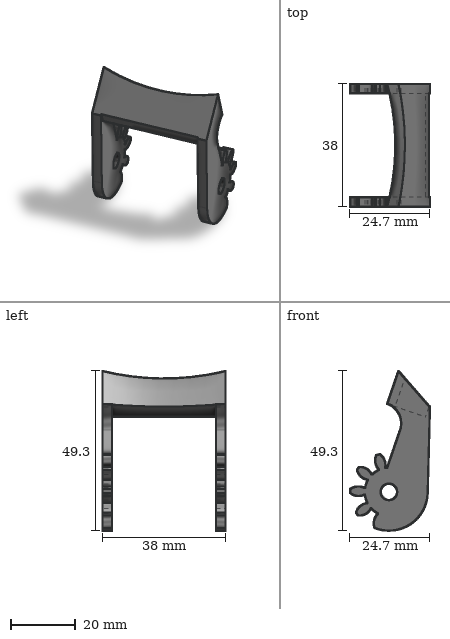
import cadquery as cq
import math

overall_width = 38.0
arm_thickness = 3.0
pivot_hole_diameter = 5.0

outer_radius = 12.0
root_radius = 7.5
tooth_pitch = 36.15
first_tooth_angle = 106.4
full_tooth_count = 4
last_tooth_angle = first_tooth_angle + full_tooth_count * tooth_pitch
tooth_root_half_width = 1.04
tooth_belly_half_width = 1.52
tooth_belly_radius = 9.5
tooth_tip_half_width = 0.58
tooth_tip_radius = math.sqrt(outer_radius**2 - tooth_tip_half_width**2)

jaw_angle = 71.0
jaw_tip = (2.92, 37.33)
jaw_length = 10.72
notch_radius = 6.4
back_corner = (12.69, 26.17)

bar_depth = 12.5
jaw_hollow_depth = 2.65


def polar(radius, angle):
    """Point at a radius and an angle in degrees around the pivot."""
    return (radius * math.cos(math.radians(angle)), radius * math.sin(math.radians(angle)))


def shifted(point, along_jaw, behind_jaw):
    """Point moved along the jaw face (upward) and square to it (towards the back)."""
    up_x, up_z = polar(1.0, jaw_angle)
    return (
        point[0] + along_jaw * up_x + behind_jaw * up_z,
        point[1] + along_jaw * up_z - behind_jaw * up_x,
    )


def tooth_point(tooth_angle, outward, sideways):
    """Point of a tooth: outward along its centre line, sideways across it (counter-clockwise)."""
    offset_angle = math.degrees(math.atan2(sideways, outward))
    return polar(math.hypot(outward, sideways), tooth_angle + offset_angle)


def across_width(outline, width):
    """Extrude an XZ outline symmetrically about Y = 0."""
    return outline.extrude(width / 2, both=True)


jaw_heel = shifted(jaw_tip, -jaw_length, 0)
notch_center = shifted(jaw_heel, -notch_radius, 0)


def make_tooth(tooth_angle):
    def flank(side):
        root = tooth_point(tooth_angle, root_radius, side * tooth_root_half_width)
        belly = tooth_point(tooth_angle, tooth_belly_radius, side * tooth_belly_half_width)
        tip = tooth_point(tooth_angle, tooth_tip_radius, side * tooth_tip_half_width)
        return root, belly, tip

    left_root, left_belly, left_tip = flank(1)
    right_root, right_belly, right_tip = flank(-1)
    outline = (
        cq.Workplane("XZ")
        .lineTo(*right_root)
        .threePointArc(right_belly, right_tip)
        .threePointArc(polar(outer_radius, tooth_angle), left_tip)
        .threePointArc(left_belly, left_root)
        .close()
    )
    return across_width(outline, overall_width)


def make_arm_blank():
    """Arm outline with the round back, the quarter-round notch and the jaw, full width."""
    corner_distance = math.hypot(*back_corner)
    corner_angle = math.degrees(math.atan2(back_corner[1], back_corner[0]))
    tangent_angle = corner_angle - math.degrees(math.acos(outer_radius / corner_distance))
    round_end_angle = last_tooth_angle - 360
    round_middle_angle = (round_end_angle + tangent_angle) / 2

    notch_diagonal = notch_radius * math.sqrt(0.5)
    notch_middle = shifted(notch_center, notch_diagonal, notch_diagonal)
    notch_end = shifted(notch_center, 0, notch_radius)
    front_edge_offset = notch_end[0] * math.sin(math.radians(jaw_angle))
    front_edge_offset -= notch_end[1] * math.cos(math.radians(jaw_angle))
    front_edge_foot = shifted((0, 0), 0, front_edge_offset)

    outline = (
        cq.Workplane("XZ")
        .lineTo(*polar(outer_radius, round_end_angle))
        .threePointArc(polar(outer_radius, round_middle_angle), polar(outer_radius, tangent_angle))
        .lineTo(*back_corner)
        .lineTo(*jaw_tip)
        .lineTo(*jaw_heel)
        .threePointArc(notch_middle, notch_end)
        .lineTo(*front_edge_foot)
        .close()
    )
    return across_width(outline, overall_width)


def make_arms():
    arms = make_arm_blank()
    arms = arms.union(across_width(cq.Workplane("XZ").circle(root_radius), overall_width))
    for index in range(full_tooth_count + 1):
        arms = arms.union(make_tooth(first_tooth_angle + index * tooth_pitch))
    arms = arms.cut(across_width(cq.Workplane("XZ").circle(pivot_hole_diameter / 2), overall_width))
    clearing_radius = math.hypot(*jaw_tip) + outer_radius
    gap_width = overall_width - 2 * arm_thickness
    return arms.cut(across_width(cq.Workplane("XZ").circle(clearing_radius), gap_width))


def make_cross_bar():
    """Bar square to the jaw face, trimmed by the sloping top of the arms."""
    outline = (
        cq.Workplane("XZ")
        .moveTo(*jaw_heel)
        .lineTo(*shifted(jaw_heel, 0, bar_depth))
        .lineTo(*shifted(jaw_tip, 0, bar_depth))
        .lineTo(*jaw_tip)
        .close()
    )
    return across_width(outline, overall_width).intersect(make_arm_blank())


def make_jaw_hollow():
    """Circular-arc segment that hollows the jaw face, from its heel up to its tip."""
    up_x, up_z = polar(1.0, jaw_angle)
    heel_plane = cq.Plane(
        origin=(jaw_heel[0], 0, jaw_heel[1]), xDir=(up_z, 0, -up_x), normal=(up_x, 0, up_z)
    )
    return (
        cq.Workplane(heel_plane)
        .moveTo(0, -overall_width / 2)
        .threePointArc((jaw_hollow_depth, 0), (0, overall_width / 2))
        .close()
        .extrude(jaw_length)
    )


result = make_arms().union(make_cross_bar()).cut(make_jaw_hollow())